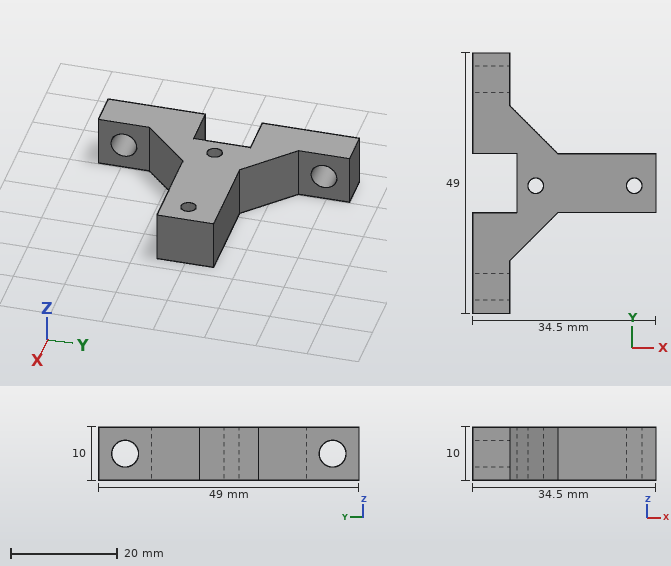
import cadquery as cq

length_x = 34.5
width_y = 49.0
thickness = 10.0

bar_depth = 7.0
stem_width = 11.05
gusset_leg = 9.0
notch_depth = 8.35

stem_hole_diameter = 2.9
stem_hole_xs = (11.85, 30.4)
stem_hole_y = -0.5

bar_hole_diameter = 5.0
bar_hole_edge_distance = 5.0

half_width = width_y / 2
half_stem = stem_width / 2


def make_body():
    """T-shaped plate with 45 degree gussets and a notch as wide as the stem."""
    upper_half = [
        (notch_depth, 0),
        (notch_depth, half_stem),
        (0, half_stem),
        (0, half_width),
        (bar_depth, half_width),
        (bar_depth, half_stem + gusset_leg),
        (bar_depth + gusset_leg, half_stem),
        (length_x, half_stem),
        (length_x, 0),
    ]
    half_body = cq.Workplane("XY").polyline(upper_half).close().extrude(thickness)
    return half_body.mirror("XZ", union=True).clean()


def make_stem_holes():
    centers = [(x, stem_hole_y) for x in stem_hole_xs]
    return cq.Workplane("XY").pushPoints(centers).circle(stem_hole_diameter / 2).extrude(thickness)


def make_bar_holes():
    hole_y = half_width - bar_hole_edge_distance
    centers = [(side * hole_y, thickness / 2) for side in (-1, 1)]
    return cq.Workplane("YZ").pushPoints(centers).circle(bar_hole_diameter / 2).extrude(bar_depth)


result = make_body().cut(make_stem_holes()).cut(make_bar_holes())